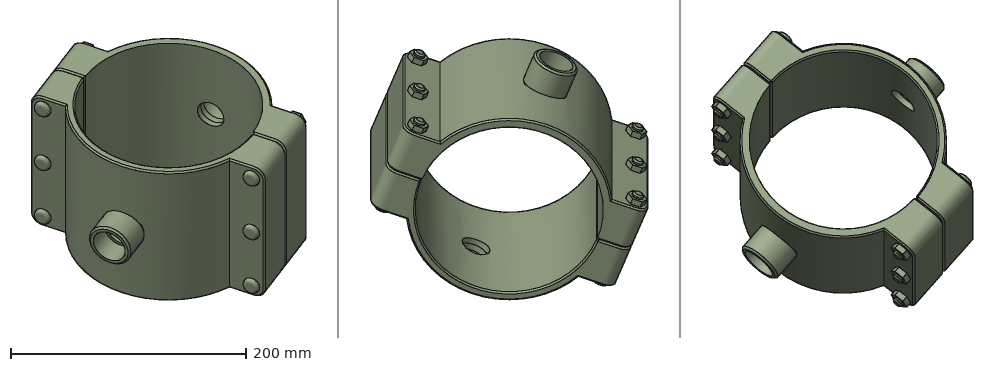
import cadquery as cq
import math

BORE_RADIUS = 80.0
WALL = 7.8
SHELL_RADIUS = BORE_RADIUS + WALL
HEIGHT = 145.0
SPLIT_GAP = 0.2
EDGE_CHAMFER = 1.5

FLANGE_SPAN = 223.0
FLANGE_FACE_Y = 39.9
FLANGE_CORNER_RADIUS = 11.2

STUB_END_Y = 112.0
STUB_SEAT_Y = 85.1
STUB_DIAMETER = 39.5
STUB_CHAMFER = 1.8
STUB_BORE_DIAMETER = 30.2
STUB_BORE_FLOOR_Y = 90.7
PORT_DIAMETER = 25.0

BOLT_X = 99.5
BOLT_PITCH = 60.5
BOLT_DIAMETER = 10.0
TIP_LENGTH = 8.5
TIP_CHAMFER = 1.5
HEAD_DIAMETER = 15.0
HEAD_HEIGHT = 4.0
HEAD_FILLET = 3.0
NUT_ACROSS_FLATS = 15.0
NUT_HEIGHT = 5.4

NUT_ACROSS_CORNERS = NUT_ACROSS_FLATS / math.cos(math.radians(30))
BOLT_SPOTS = [(side * BOLT_X, row * BOLT_PITCH) for side in (-1, 1) for row in (-1, 0, 1)]


def facing_rear(start_y):
    """Sketch plane at the given Y that extrudes toward +Y."""
    return cq.Workplane("XZ", origin=(0, start_y, 0)).transformed(rotate=(180, 0, 0))


def rod(diameter, start_y, end_y):
    """Round rod on the Y axis."""
    return facing_rear(start_y).circle(diameter / 2).extrude(end_y - start_y)


def shell_bore():
    """Cutter for the bore along Z."""
    return cq.Workplane("XY").circle(BORE_RADIUS).extrude(HEIGHT / 2, both=True)


def bore_rim_flare():
    """Cone that chamfers the upper rim of the bore."""
    flare_start = HEIGHT / 2 - EDGE_CHAMFER
    return (
        cq.Workplane("XZ")
        .moveTo(0, flare_start)
        .lineTo(BORE_RADIUS, flare_start)
        .lineTo(BORE_RADIUS + EDGE_CHAMFER, HEIGHT / 2)
        .lineTo(0, HEIGHT / 2)
        .close()
        .revolve(360, (0, 0, 0), (0, 1, 0))
    )


def clamp_half(chamfered_bore):
    """Half of the shell with its two flanges, on the +Y side of the split."""
    split_y = SPLIT_GAP / 2
    ring = (
        cq.Workplane("XY").circle(SHELL_RADIUS).extrude(HEIGHT / 2, both=True)
        .edges().chamfer(EDGE_CHAMFER)
    )
    rear_half_space = facing_rear(split_y).rect(FLANGE_SPAN, HEIGHT).extrude(SHELL_RADIUS)
    flanges = (
        facing_rear(split_y).rect(FLANGE_SPAN, HEIGHT).extrude(FLANGE_FACE_Y - split_y)
        .edges("|Y").fillet(FLANGE_CORNER_RADIUS)
        .faces(">Y").chamfer(EDGE_CHAMFER)
    )
    half = flanges.union(ring.intersect(rear_half_space)).cut(shell_bore())
    if chamfered_bore:
        upper_flare = bore_rim_flare()
        half = half.cut(upper_flare).cut(upper_flare.mirror("XY"))
    return half.faces("<Y").edges().chamfer(EDGE_CHAMFER)


def bolts():
    """Six bolts with their nuts, each shank running through both flanges and the split."""
    tip_y = FLANGE_FACE_Y + TIP_LENGTH
    shanks = (
        facing_rear(-FLANGE_FACE_Y).pushPoints(BOLT_SPOTS).circle(BOLT_DIAMETER / 2)
        .extrude(tip_y + FLANGE_FACE_Y)
        .faces(">Y").chamfer(TIP_CHAMFER)
    )
    heads = (
        facing_rear(-FLANGE_FACE_Y).pushPoints(BOLT_SPOTS).circle(HEAD_DIAMETER / 2)
        .extrude(-HEAD_HEIGHT)
        .faces("<Y").edges().fillet(HEAD_FILLET)
    )
    nuts = (
        facing_rear(FLANGE_FACE_Y).pushPoints(BOLT_SPOTS).polygon(6, NUT_ACROSS_CORNERS)
        .extrude(NUT_HEIGHT)
    )
    return shanks.union(heads).union(nuts)


def stub_socket():
    """Cutter for the stub's seat in the wall and the port through it."""
    port = rod(PORT_DIAMETER, 0, STUB_SEAT_Y)
    return port.union(rod(STUB_DIAMETER, STUB_SEAT_Y, STUB_END_Y))


def clamp():
    """Both halves, joined into one body by the bolts that bridge the split."""
    rear = clamp_half(chamfered_bore=False).cut(stub_socket())
    front = clamp_half(chamfered_bore=True).cut(stub_socket()).mirror("XZ")
    return bolts().union(rear).union(front)


def pipe_stub():
    """Stub on the +Y side: a wide bore that narrows to the port at its floor."""
    return (
        rod(STUB_DIAMETER, STUB_SEAT_Y, STUB_END_Y)
        .faces(">Y").chamfer(STUB_CHAMFER)
        .cut(rod(PORT_DIAMETER, STUB_SEAT_Y, STUB_END_Y))
        .cut(rod(STUB_BORE_DIAMETER, STUB_BORE_FLOOR_Y, STUB_END_Y))
    )


stubs = [pipe_stub().rotate((0, 0, 0), (0, 0, 1), turn) for turn in (0, 180)]

result = cq.Compound.makeCompound([clamp().val(), *(stub.val() for stub in stubs)])